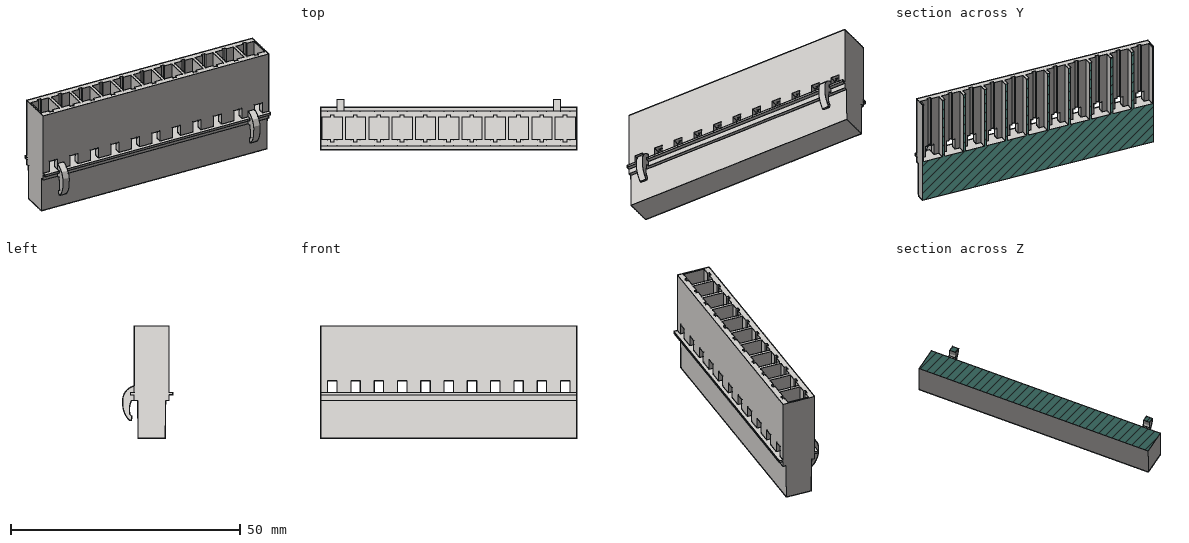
import cadquery as cq

contact_count = 11
pitch = 5.08
length = contact_count * pitch

height = 24.55
upper_depth = 7.6
mid_y = upper_depth / 2
step_z = 8.25

lower_top_depth = 6.16
lower_bottom_depth = 5.97

flange_overhang = 0.85
flange_thickness = 0.5
flange_top_z = 10.0

pocket_width = 4.4
pocket_depth_y = 4.9
groove_width = 0.8
groove_span_y = 5.86
groove_offset_x = -0.04
pocket_floor_z = flange_top_z

window_width = 2.0
window_height = 2.55

hook_width = 1.55
hook_inset = 3.55
hook_root_z = 11.45
hook_reach = 2.53
hook_back_y = upper_depth + hook_reach
hook_upper_bend = (9.33, 10.4)
hook_back = (hook_back_y, 7.75)
hook_lower_bend = (9.73, 5.5)
hook_tip_outer = (8.65, 3.9)
hook_tip_inner = (8.25, 3.9)
hook_barb_bottom = (8.1, 4.4)
hook_barb_top = (8.1, 4.85)
hook_throat_bottom = (8.5, 5.15)
hook_throat_bend = (8.6, 6.8)
hook_throat_top = (8.2, step_z)


def box(x_min, width, y_center, depth, z_min, z_max):
    """Box placed by its left side, its middle in Y and its bottom and top."""
    block = cq.Workplane("XY").box(width, depth, z_max - z_min, centered=(False, True, False))
    return block.translate((x_min, y_center, z_min))


def make_housing():
    upper_block = box(0, length, mid_y, upper_depth, step_z, height)
    lower_profile = [
        (mid_y - lower_bottom_depth / 2, 0),
        (mid_y + lower_bottom_depth / 2, 0),
        (mid_y + lower_top_depth / 2, step_z),
        (mid_y - lower_top_depth / 2, step_z),
    ]
    lower_block = cq.Workplane("YZ").polyline(lower_profile).close().extrude(length)
    flange_depth = upper_depth + 2 * flange_overhang
    flange = box(0, length, mid_y, flange_depth, flange_top_z - flange_thickness, flange_top_z)
    return upper_block.union(lower_block).union(flange)


def make_contact_cut(center_x):
    """Pocket, key grooves and through windows of one contact."""
    pocket = box(center_x - pocket_width / 2, pocket_width, mid_y, pocket_depth_y, pocket_floor_z, height)
    groove_x = center_x + groove_offset_x - groove_width / 2
    grooves = box(groove_x, groove_width, mid_y, groove_span_y, pocket_floor_z, height)
    window_top_z = flange_top_z + window_height
    window_x = center_x - window_width / 2
    windows = box(window_x, window_width, mid_y, upper_depth, flange_top_z, window_top_z)
    return pocket.union(grooves).union(windows)


def make_hook(x_min):
    """Curved latch hook that hangs down behind the lower block."""
    anchor_y = mid_y + lower_top_depth / 2
    profile = (
        cq.Workplane("YZ", origin=(x_min, 0, 0))
        .moveTo(anchor_y, step_z)
        .lineTo(anchor_y, hook_root_z)
        .lineTo(upper_depth, hook_root_z)
        .threePointArc(hook_upper_bend, hook_back)
        .threePointArc(hook_lower_bend, hook_tip_outer)
        .lineTo(*hook_tip_inner)
        .lineTo(*hook_barb_bottom)
        .lineTo(*hook_barb_top)
        .lineTo(*hook_throat_bottom)
        .threePointArc(hook_throat_bend, hook_throat_top)
        .close()
    )
    return profile.extrude(hook_width)


result = make_housing()
for x_min in (hook_inset, length - hook_inset - hook_width):
    result = result.union(make_hook(x_min))
for index in range(contact_count):
    result = result.cut(make_contact_cut((index + 0.5) * pitch))